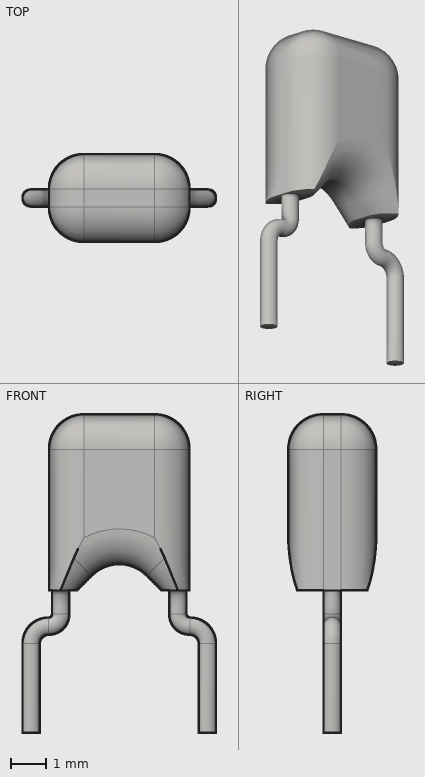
import cadquery as cq
import math

total_height = 9.04
body_length = 4.0
body_width = 2.5
body_height = 5.0
round_radius = 1.0
notch_radius = 1.11
notch_center_z = 3.67
wire_diameter = 0.5
lead_spacing = 5.0
upper_bend_radius = 0.34
lower_bend_radius = 0.5
lower_bend_z = 2.53
lead_embed = 0.36

body_bottom = total_height - body_height
half_width = body_width / 2
lead_x = lead_spacing / 2
lip_start_y = half_width - round_radius
jog_z = lower_bend_z + lower_bend_radius
upper_bend_z = jog_z + upper_bend_radius
jog_x = lead_x - lower_bend_radius
upper_lead_x = jog_x - upper_bend_radius
arc_middle = math.sqrt(0.5)


def make_body():
    """Block with round upright corners and a round top edge."""
    block = cq.Workplane("XY").workplane(offset=body_bottom).rect(body_length, body_width)
    block = block.extrude(body_height)
    return block.edges("|Z").fillet(round_radius).faces(">Z").edges().fillet(round_radius)


def notch_section(plane):
    """Notch half section: x is distance from the notch axis, y runs across the body."""
    mouth = notch_radius + round_radius
    middle_x = mouth - round_radius * arc_middle
    middle_y = lip_start_y + round_radius * arc_middle
    return (
        cq.Workplane(plane)
        .moveTo(0, -half_width)
        .lineTo(mouth, -half_width)
        .threePointArc((middle_x, -middle_y), (notch_radius, -lip_start_y))
        .lineTo(notch_radius, lip_start_y)
        .threePointArc((middle_x, middle_y), (mouth, half_width))
        .lineTo(0, half_width)
        .close()
    )


def make_notch():
    """Round crown with a straight 45 degree flare on each side, open below."""
    axis_point = (0, 0, notch_center_z)
    crown_plane = cq.Plane(axis_point, xDir=(1, 0, 0), normal=(0, 0, -1))
    notch = notch_section(crown_plane).revolve(360, (0, 0), (0, 1))
    for side in (-1, 1):
        flare_plane = cq.Plane(axis_point, xDir=(side, 0, 1), normal=(side, 0, -1))
        notch = notch.union(notch_section(flare_plane).extrude(body_length))
    return notch


def make_lead(side):
    """Round wire that leaves the body, jogs outward and runs down to the base."""
    path = (
        cq.Workplane("XZ")
        .moveTo(side * lead_x, 0)
        .lineTo(side * lead_x, lower_bend_z)
        .threePointArc(
            (
                side * (jog_x + lower_bend_radius * arc_middle),
                lower_bend_z + lower_bend_radius * arc_middle,
            ),
            (side * jog_x, jog_z),
        )
        .threePointArc(
            (
                side * (jog_x - upper_bend_radius * arc_middle),
                upper_bend_z - upper_bend_radius * arc_middle,
            ),
            (side * upper_lead_x, upper_bend_z),
        )
        .lineTo(side * upper_lead_x, body_bottom + lead_embed)
    )
    return cq.Workplane("XY").center(side * lead_x, 0).circle(wire_diameter / 2).sweep(path)


result = make_body().cut(make_notch())
for lead_side in (-1, 1):
    result = result.union(make_lead(lead_side))